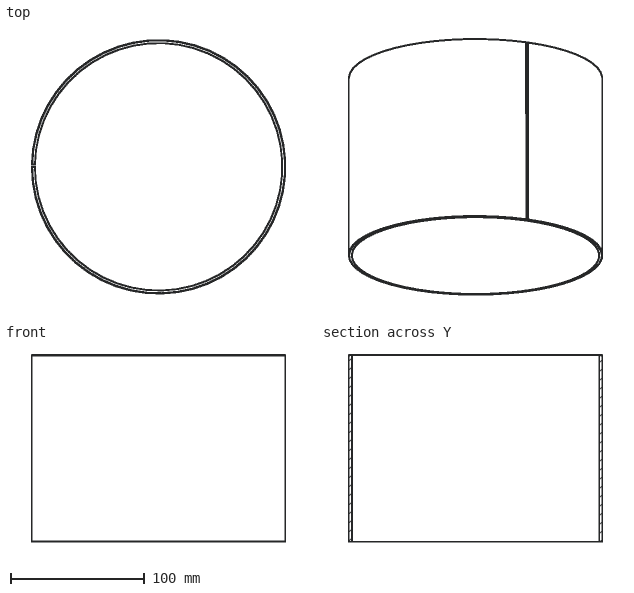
import cadquery as cq

outer_diameter = 190.0
wall = 2.5
height = 140.0
outer_chamfer = 0.5
inner_chamfer = 0.2
slit_angle = 1.0

outer_radius = outer_diameter / 2
inner_radius = outer_radius - wall


def wall_section():
    """Cross-section of the wall at the -X side, with all four corners chamfered."""
    return (
        cq.Workplane("XZ")
        .moveTo(-outer_radius, outer_chamfer)
        .lineTo(-outer_radius + outer_chamfer, 0)
        .lineTo(-inner_radius - inner_chamfer, 0)
        .lineTo(-inner_radius, inner_chamfer)
        .lineTo(-inner_radius, height - inner_chamfer)
        .lineTo(-inner_radius - inner_chamfer, height)
        .lineTo(-outer_radius + outer_chamfer, height)
        .lineTo(-outer_radius, height - outer_chamfer)
        .close()
    )


def split_sleeve():
    """Sweep the wall about Z, from y = 0 round to a narrow full-height slit on the +Y side of the start."""
    axis_start = (0, 0, 0)
    axis_end = (0, 1, 0)
    return wall_section().revolve(360 - slit_angle, axis_start, axis_end)


result = split_sleeve()